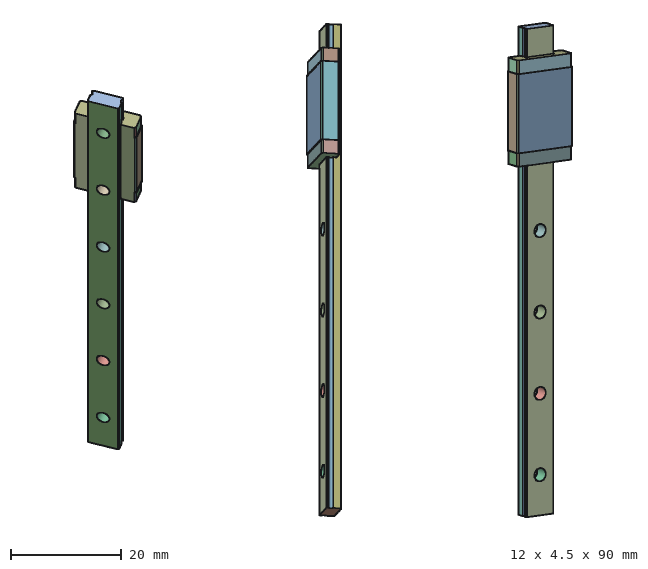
import cadquery as cq

assembly_height = 4.5

rail_length = 90.0
rail_width = 6.0
rail_height = 2.8
rail_chamfer = 0.2
groove_radius = 0.4
groove_axis_offset = 0.1
groove_from_top = 0.8
hole_diameter = 2.4
hole_pitch = 15.0
hole_count = 6

carriage_width = 12.0
carriage_clearance = 1.0
carriage_length = 19.6
carriage_center_from_top = 15.0
carriage_center_z = rail_length - carriage_center_from_top
block_length = 14.6
carriage_chamfer = 0.3
cap_inset = 0.15


def rail_section_bar():
    """Square-edged bar of the rail's size, with a round groove along each side."""
    bar = (
        cq.Workplane("XY")
        .center(0, rail_height / 2)
        .rect(rail_width, rail_height)
        .extrude(rail_length)
    )
    groove_y = rail_height - groove_from_top
    groove_x = rail_width / 2 + groove_axis_offset
    grooves = (
        cq.Workplane("XY")
        .pushPoints([(side * groove_x, groove_y) for side in (-1, 1)])
        .circle(groove_radius)
        .extrude(rail_length)
    )
    return bar.cut(grooves)


def make_rail():
    """Grooved bar with chamfered corners and a row of plain mounting holes through its thickness."""
    first_hole_z = (rail_length - (hole_count - 1) * hole_pitch) / 2
    hole_centers = [(0, first_hole_z + i * hole_pitch) for i in range(hole_count)]
    holes = (
        cq.Workplane("XZ")
        .pushPoints(hole_centers)
        .circle(hole_diameter / 2)
        .extrude(-rail_height)
    )
    corner_edges = rail_section_bar().edges("|Z and (<Y or >Y)")
    return corner_edges.chamfer(rail_chamfer).cut(holes)


def carriage_bar(width, top_y, length):
    """Bar along Z with chamfered long edges, centered on the carriage."""
    height = top_y - carriage_clearance
    return (
        cq.Workplane("XY")
        .box(width, height, length)
        .edges("|Z")
        .chamfer(carriage_chamfer)
        .translate((0, carriage_clearance + height / 2, carriage_center_z))
    )


def make_carriage():
    """Carriage: a central block, slightly smaller end caps, and a channel fitting the rail."""
    block = carriage_bar(carriage_width, assembly_height, block_length)
    end_caps = carriage_bar(carriage_width - 2 * cap_inset, assembly_height - cap_inset, carriage_length)
    return block.union(end_caps).cut(rail_section_bar())


rail = make_rail()
carriage = make_carriage()

result = cq.Compound.makeCompound([rail.val(), carriage.val()])